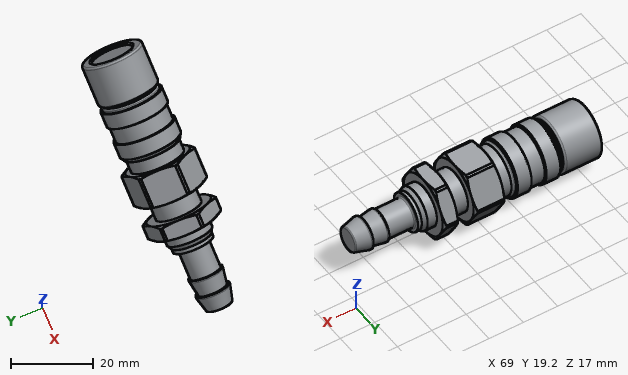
import cadquery as cq
import math

LENGTH = 69.0

SLEEVE_DIA = 15.8
SLEEVE_END = 10.9
GRIP_DIA = 16.15
BARREL_DIA = 15.1
BARREL_START = 11.45
BARREL_END = 26.0
GRIP_STARTS = (12.5, 20.85)
GRIP_WIDTH = 4.0
GRIP_FLANK_LENGTH = 0.2
EDGE_ROUND = 0.5

MOUTH_DIA = 11.5
FLOOR_DIA = 10.6
MOUTH_DEPTH = 0.4

NECK_DIA = 14.0
SHANK_DIA = 12.0
SHANK_END = 49.75
TIP_DIA = 10.6
TIP_START = 51.0
TIP_END = 52.1

ACROSS_FLATS = 17.0
ACROSS_CORNERS = 19.2
BODY_HEX_START = 29.3
BODY_HEX_END = 38.0
NUT_START = 42.85
NUT_END = 47.05
HEX_BEVEL_LENGTH = 0.4

TAIL_DIA = 8.1
TAIL_ROOT_RADIUS = 0.35
BARB_DIA = 9.0
BARB_LAND = 0.5
BARB_1_START = 59.9
BARB_2_START = 64.45
BARB_1_SMALL_DIA = 7.65
TAIL_END_DIA = 6.8
TAIL_END_ROUND = 0.35


def cylinder(diameter, start, end):
    """Cylinder along X between two stations."""
    return cq.Workplane("YZ", origin=(start, 0, 0)).circle(diameter / 2).extrude(end - start)


def revolve_about_x(points):
    """Solid of revolution about X from a closed outline of (x, radius) points."""
    return cq.Workplane("XY").polyline(points).close().revolve(360, (0, 0, 0), (1, 0, 0))


def cone(start_dia, end_dia, start, end):
    """Frustum along X between two stations."""
    return revolve_about_x([(start, 0), (start, start_dia / 2), (end, end_dia / 2), (end, 0)])


def hexagon(start, end):
    """Hexagonal prism with trimmed corners and bevelled ends."""
    sharp_corner_dia = ACROSS_FLATS / math.cos(math.pi / 6)
    prism = (
        cq.Workplane("YZ", origin=(start, 0, 0))
        .polygon(6, sharp_corner_dia)
        .extrude(end - start)
    )
    flat_radius = ACROSS_FLATS / 2
    corner_radius = ACROSS_CORNERS / 2
    envelope = revolve_about_x([
        (start, 0),
        (start, flat_radius),
        (start + HEX_BEVEL_LENGTH, corner_radius),
        (end - HEX_BEVEL_LENGTH, corner_radius),
        (end, flat_radius),
        (end, 0),
    ])
    return prism.intersect(envelope)


def barb(start, end, small_dia):
    """Short cylindrical land followed by a taper toward +X."""
    land_end = start + BARB_LAND
    return cylinder(BARB_DIA, start, land_end).union(cone(BARB_DIA, small_dia, land_end, end))


def socket():
    """Rounded sleeve and barrel, grip rings and the countersunk mouth."""
    sleeve = cylinder(SLEEVE_DIA, 0, SLEEVE_END).edges().fillet(EDGE_ROUND)
    sleeve = sleeve.cut(cone(MOUTH_DIA, FLOOR_DIA, 0, MOUTH_DEPTH))
    barrel = cylinder(BARREL_DIA, BARREL_START, BARREL_END).edges().fillet(EDGE_ROUND)
    body = sleeve.union(cylinder(NECK_DIA, SLEEVE_END, BODY_HEX_START)).union(barrel)
    for start in GRIP_STARTS:
        flank_start = start + GRIP_WIDTH
        flank_end = flank_start + GRIP_FLANK_LENGTH
        ring = cylinder(GRIP_DIA, start, flank_start)
        body = body.union(ring).union(cone(GRIP_DIA, BARREL_DIA, flank_start, flank_end))
    return body


def shank_with_tip():
    """Plain cylinder with a tapered lead-in and a reduced tip."""
    shank = cylinder(SHANK_DIA, BODY_HEX_END, SHANK_END)
    shank = shank.union(cone(SHANK_DIA, TIP_DIA, SHANK_END, TIP_START))
    return shank.union(cylinder(TIP_DIA, TIP_START, TIP_END))


def tail_root():
    """Concave round that blends the tail into the flat face of the shank tip."""
    tail_radius = TAIL_DIA / 2
    root_end = TIP_END + TAIL_ROOT_RADIUS
    return (
        cq.Workplane("XY")
        .moveTo(TIP_END, 0)
        .lineTo(TIP_END, tail_radius + TAIL_ROOT_RADIUS)
        .radiusArc((root_end, tail_radius), -TAIL_ROOT_RADIUS)
        .lineTo(root_end, 0)
        .close()
        .revolve(360, (0, 0, 0), (1, 0, 0))
    )


def hose_tail():
    """Solid tail carrying two barbs, rounded at its free end."""
    last_barb = barb(BARB_2_START, LENGTH, TAIL_END_DIA)
    last_barb = last_barb.faces(">X").edges().fillet(TAIL_END_ROUND)
    tail = tail_root().union(cylinder(TAIL_DIA, TIP_END, BARB_1_START))
    return tail.union(barb(BARB_1_START, BARB_2_START, BARB_1_SMALL_DIA)).union(last_barb)


result = (
    socket()
    .union(hexagon(BODY_HEX_START, BODY_HEX_END))
    .union(shank_with_tip())
    .union(hexagon(NUT_START, NUT_END))
    .union(hose_tail())
)